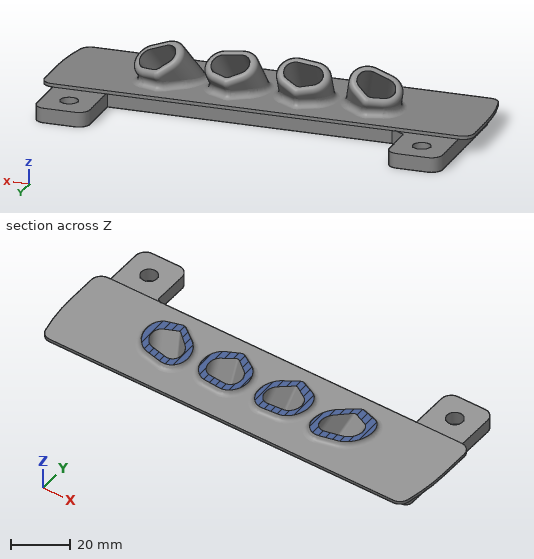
import cadquery as cq
import math

plate_length = 154.0
plate_depth = 37.0
plate_thickness = 1.2
plate_end_straight = 15.9
plate_end_radius = plate_length / 2
plate_corner_radius = 4.0

base_length = 145.4
base_height = 5.3
base_front_inset = 5.5
base_back_inset = 1.5
base_corner_radius = 2.6
step_depth = 0.5
step_outer_x = 67.4
step_inner_x = 64.3

tab_width = 19.1
tab_reach = 19.8
tab_corner_radius = 4.0
tab_hole_diameter = 6.3
tab_hole_from_back = 9.7
web_width = 3.0
web_depth = 2.0

tube_pitch = 23.7
tube_fan_total = 40.0
tube_count = 4
tube_lean_angle = 34.7
tube_front_y = 10.3
tube_length = 17.46
tube_wall = 2.6
bore_flat_width = 6.0
bore_side_radius = 3.9
roof_angle = 25.0
roof_ridge_radius = 2.5
lip_depth = 3.5
cavity_roof_angle = 31.0
cavity_ridge_radius = 1.1
rim_fillet_radius = 1.9
root_fillet_radius = 2.0

base_bottom = -base_height
tube_root_length = 2 * (plate_thickness + base_height) + plate_depth / 2
tube_fan_step = tube_fan_total / (tube_count - 1)
left_tube_steps = [index - (tube_count - 1) / 2 for index in range(tube_count // 2)]
plate_front = 0.0
plate_back = plate_front + plate_depth
tab_back = plate_back + tab_reach
tab_center_x = (base_length - tab_width) / 2


def make_plate():
    half = plate_length / 2
    arc_center_y = plate_back - plate_end_straight
    front_half = math.sqrt(plate_end_radius**2 - (arc_center_y - plate_front) ** 2)
    mid_y = (arc_center_y + plate_front) / 2
    mid_half = math.sqrt(plate_end_radius**2 - (arc_center_y - mid_y) ** 2)
    return (
        cq.Workplane("XY")
        .moveTo(-half, plate_back)
        .lineTo(half, plate_back)
        .lineTo(half, arc_center_y)
        .threePointArc((mid_half, mid_y), (front_half, plate_front))
        .lineTo(-front_half, plate_front)
        .threePointArc((-mid_half, mid_y), (-half, arc_center_y))
        .close()
        .extrude(plate_thickness)
        .edges("|Z")
        .edges("<Y or >Y")
        .fillet(plate_corner_radius)
    )


def make_base():
    half = base_length / 2
    front = plate_front + base_front_inset
    side_front = front + step_depth
    back = plate_back - base_back_inset
    block = (
        cq.Workplane("XY", origin=(0, 0, base_bottom))
        .moveTo(-half, back)
        .lineTo(-half, side_front)
        .lineTo(-step_outer_x, side_front)
        .lineTo(-step_inner_x, front)
        .lineTo(step_inner_x, front)
        .lineTo(step_outer_x, side_front)
        .lineTo(half, side_front)
        .lineTo(half, back)
        .close()
        .extrude(base_height)
    )
    for end_face in ("<X", ">X"):
        block = block.faces(end_face).edges("|Z and <Y").fillet(base_corner_radius)
    return block


def make_tab(center_x):
    overlap = base_back_inset + tab_corner_radius
    depth = tab_reach + overlap
    return (
        cq.Workplane("XY", origin=(center_x, tab_back - depth / 2, base_bottom))
        .rect(tab_width, depth)
        .extrude(base_height)
        .edges("|Z and >Y")
        .fillet(tab_corner_radius)
        .faces(">Z")
        .workplane(origin=(center_x, tab_back - tab_hole_from_back, 0))
        .hole(tab_hole_diameter)
    )


def make_web():
    """Small slanted corner between the left tab and the back of the base."""
    tab_side = -tab_center_x + tab_width / 2
    base_back = plate_back - base_back_inset
    web_top = plate_back + web_depth
    base_end = tab_side + web_width * (web_top - base_back) / web_depth
    return (
        cq.Workplane("XY", origin=(0, 0, base_bottom))
        .moveTo(tab_side, base_back)
        .lineTo(base_end, base_back)
        .lineTo(tab_side, web_top)
        .close()
        .extrude(base_height)
    )


def tube_section(start, offset, slope_angle, ridge_radius):
    """Flat floor, round sides and a rounded roof ridge; grown outwards by offset."""
    half_flat = bore_flat_width / 2
    radius = bore_side_radius + offset
    center_y = tube_wall + bore_side_radius
    floor_y = center_y - radius
    slope = math.radians(slope_angle)
    side_x = half_flat + radius * math.cos(slope / 2)
    side_y = center_y - radius * math.sin(slope / 2)
    eave_x = half_flat + radius * math.sin(slope)
    eave_y = center_y + radius * math.cos(slope)
    ridge_x = ridge_radius * math.sin(slope)
    ridge_y = eave_y + (eave_x - ridge_x) * math.tan(slope)
    ridge_top = ridge_y + ridge_radius * (1 - math.cos(slope))
    return (
        cq.Workplane("XY", origin=(0, 0, start))
        .moveTo(-half_flat, floor_y)
        .lineTo(half_flat, floor_y)
        .threePointArc((side_x, side_y), (eave_x, eave_y))
        .lineTo(ridge_x, ridge_y)
        .threePointArc((0, ridge_top), (-ridge_x, ridge_y))
        .lineTo(-eave_x, eave_y)
        .threePointArc((-side_x, side_y), (-half_flat, floor_y))
        .close()
    )


def make_tube_body():
    return (
        tube_section(-tube_root_length, tube_wall, roof_angle, roof_ridge_radius)
        .extrude(tube_root_length + tube_length)
        .faces(">Z")
        .edges()
        .fillet(rim_fillet_radius)
    )


def make_bore():
    """Bore with a lip at the rim and a steeper roof below the lip."""
    lip_start = tube_length - lip_depth
    lip = tube_section(lip_start, 0, roof_angle, roof_ridge_radius).extrude(lip_depth)
    cavity = tube_section(-tube_root_length, 0, cavity_roof_angle, cavity_ridge_radius)
    return lip.union(cavity.extrude(tube_root_length + lip_start))


def place_left_tubes(shape):
    """Copies of a shape at the two left tube places, leaned back and fanned out."""
    return [
        shape.rotate((0, 0, 0), (1, 0, 0), -tube_lean_angle)
        .rotate((0, 0, 0), (0, 1, 0), steps_from_middle * tube_fan_step)
        .translate((steps_from_middle * tube_pitch, tube_front_y, plate_thickness))
        for steps_from_middle in left_tube_steps
    ]


def add_left_tube_bodies(cover):
    above_plate_middle = cq.Workplane("XY", origin=(0, 0, plate_thickness / 2)).box(
        plate_length, 2 * plate_depth, plate_length, centered=(True, True, False)
    )
    for body in place_left_tubes(make_tube_body()):
        cover = cover.union(body.intersect(above_plate_middle))
    rim_gap = plate_corner_radius / 4
    level_gap = plate_thickness / 10
    root_edges = cq.selectors.BoxSelector(
        (-plate_length / 2 + rim_gap, plate_front + rim_gap, plate_thickness - level_gap),
        (plate_length / 2 - rim_gap, plate_back - rim_gap, plate_thickness + level_gap),
        boundingbox=True,
    )
    return cover.edges(root_edges).fillet(root_fillet_radius)


left_cover = add_left_tube_bodies(make_plate())
cover = left_cover.union(left_cover.mirror("YZ"))
result = cover.union(make_base()).union(make_web())
for side in (-1, 1):
    result = result.union(make_tab(side * tab_center_x))
for bore in place_left_tubes(make_bore()):
    result = result.cut(bore).cut(bore.mirror("YZ"))